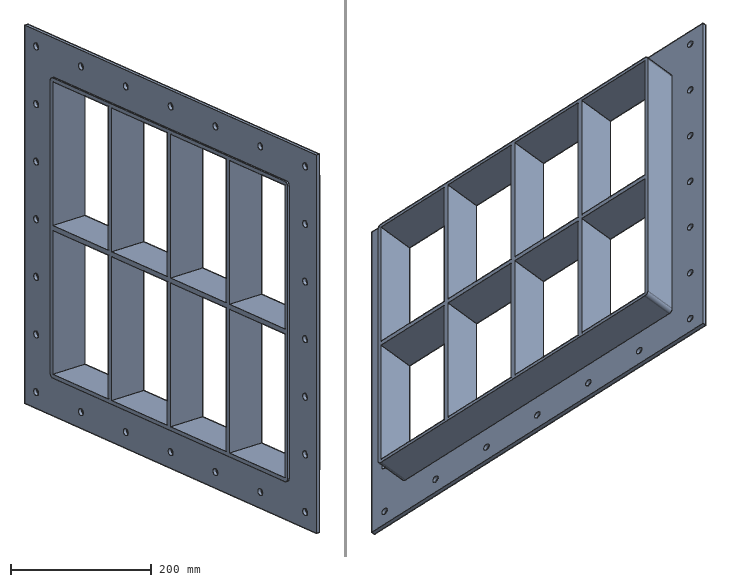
import cadquery as cq

flange_length = 644.0
flange_height = 580.0
flange_thickness = 6.0
flange_margin = 60.0

frame_depth = 60.0
frame_proud = 3.0
frame_wall = 6.0
frame_corner_radius = 6.0
frame_length = flange_length - 2 * flange_margin
frame_height = flange_height - 2 * flange_margin

columns = 4
rows = 2
divider_thickness = 8.0

hole_diameter = 10.0
hole_inset = 25.0
hole_intervals = 6


def plate(length, height, front, thickness):
    """Centred block whose front face lies at Y = front."""
    return (
        cq.Workplane("XZ", origin=(0, front, 0))
        .rect(length, height)
        .extrude(-thickness)
    )


def cell_openings():
    """Equal rectangular prisms that leave the walls and dividers between them."""
    inner_length = frame_length - 2 * frame_wall
    inner_height = frame_height - 2 * frame_wall
    column_pitch = (inner_length + divider_thickness) / columns
    row_pitch = (inner_height + divider_thickness) / rows
    return (
        cq.Workplane("XZ")
        .rarray(column_pitch, row_pitch, columns, rows)
        .rect(column_pitch - divider_thickness, row_pitch - divider_thickness)
        .extrude(-frame_depth)
    )


def bolt_holes():
    """Cylinders in a row along each edge, sharing the corner positions."""
    half_x = flange_length / 2 - hole_inset
    half_z = flange_height / 2 - hole_inset
    centres = []
    for i in range(hole_intervals + 1):
        along = 2 * i / hole_intervals - 1
        centres += [(along * half_x, side * half_z) for side in (-1, 1)]
        if 0 < i < hole_intervals:
            centres += [(side * half_x, along * half_z) for side in (-1, 1)]
    return (
        cq.Workplane("XZ")
        .pushPoints(centres)
        .circle(hole_diameter / 2)
        .extrude(-frame_depth)
    )


flange = plate(flange_length, flange_height, frame_proud, flange_thickness)
frame = plate(frame_length, frame_height, 0, frame_depth).edges("|Y").fillet(frame_corner_radius)

result = flange.union(frame).cut(cell_openings()).cut(bolt_holes())